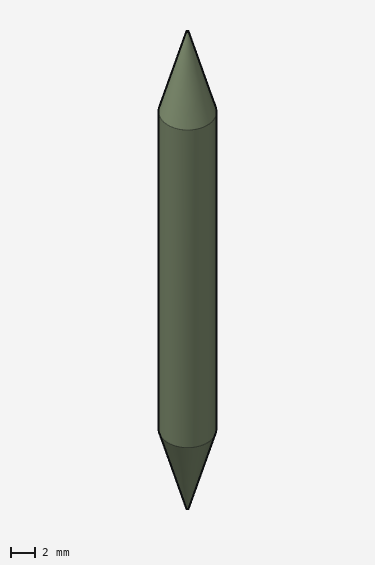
import cadquery as cq

length = 50.8
diameter = 4.8
point_length = 8.5
tip_diameter = 0.2

radius = diameter / 2
tip_radius = tip_diameter / 2
tip_height = length / 2
shoulder_height = tip_height - point_length

half_outline = (
    cq.Workplane("XZ")
    .moveTo(0, -tip_height)
    .lineTo(tip_radius, -tip_height)
    .lineTo(radius, -shoulder_height)
    .lineTo(radius, shoulder_height)
    .lineTo(tip_radius, tip_height)
    .lineTo(0, tip_height)
    .close()
)

result = half_outline.revolve(360, (0, 0, 0), (0, 1, 0))